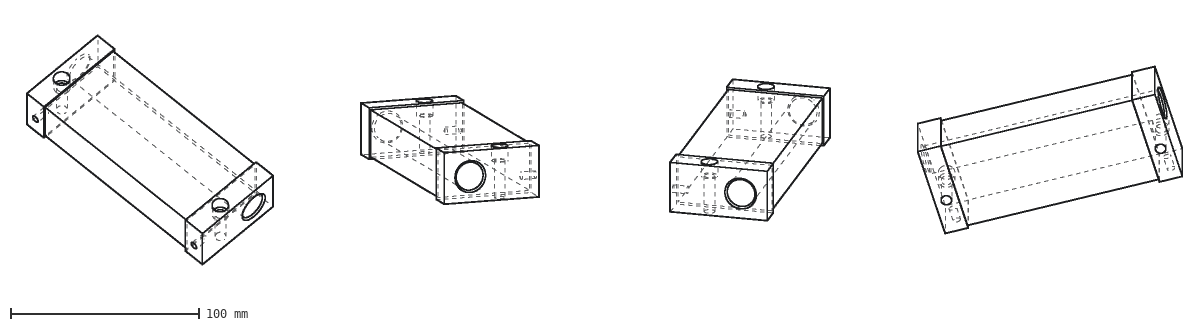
import cadquery as cq

length = 131.0
width = 53.5
height = 28.0

block_length = 12.7
side_step = 0.9
top_step = 1.2
body_length = length - 2 * block_length
body_width = width - 2 * side_step
body_height = height - 2 * top_step
block_center_x = length / 2 - block_length / 2

bore_diameter = 15.2
bore_chamfer = 1.0
bore_side_distance = 14.7
bore_y = width / 2 - bore_side_distance

mount_diameter = 5.6
counterbore_diameter = 8.8
counterbore_depth = 7.9
mount_side_distance = 19.9
mount_y = mount_side_distance - width / 2

side_hole_diameter = 4.0
side_hole_depth = 7.9
side_hole_bottom_distance = 11.0
side_hole_z = side_hole_bottom_distance - height / 2
drill_tip_depth = 1.2


def make_end_block(center_x):
    """Solid block closing one end of the body."""
    return cq.Workplane("XY").box(block_length, width, height).translate((center_x, 0, 0))


def make_main_bore():
    """Cutter for the full-length bore: its straight run and conical mouths, revolved about its axis."""
    radius = bore_diameter / 2
    mouth_radius = radius + bore_chamfer
    end_x = length / 2
    profile = [
        (-end_x, 0),
        (-end_x, mouth_radius),
        (-end_x + bore_chamfer, radius),
        (end_x - bore_chamfer, radius),
        (end_x, mouth_radius),
        (end_x, 0),
    ]
    bore = cq.Workplane("XY").polyline(profile).close().revolve(360, (0, 0, 0), (1, 0, 0))
    return bore.translate((0, bore_y, 0))


def make_side_hole(center_x):
    """Cutter for a blind hole with a conical drill tip, entering from the -Y face."""
    radius = side_hole_diameter / 2
    profile = [
        (0, 0),
        (radius, 0),
        (radius, side_hole_depth),
        (0, side_hole_depth + drill_tip_depth),
    ]
    hole = cq.Workplane("XY").polyline(profile).close().revolve(360, (0, 0, 0), (0, 1, 0))
    return hole.translate((center_x, -width / 2, side_hole_z))


block_centers = (-block_center_x, block_center_x)

result = cq.Workplane("XY").box(body_length, body_width, body_height)
for center_x in block_centers:
    result = result.union(make_end_block(center_x))

result = result.cut(make_main_bore())

result = (
    result.faces(">Z")
    .workplane(origin=(0, 0, height / 2))
    .pushPoints([(center_x, mount_y) for center_x in block_centers])
    .cboreHole(mount_diameter, counterbore_diameter, counterbore_depth)
)

for center_x in block_centers:
    result = result.cut(make_side_hole(center_x))